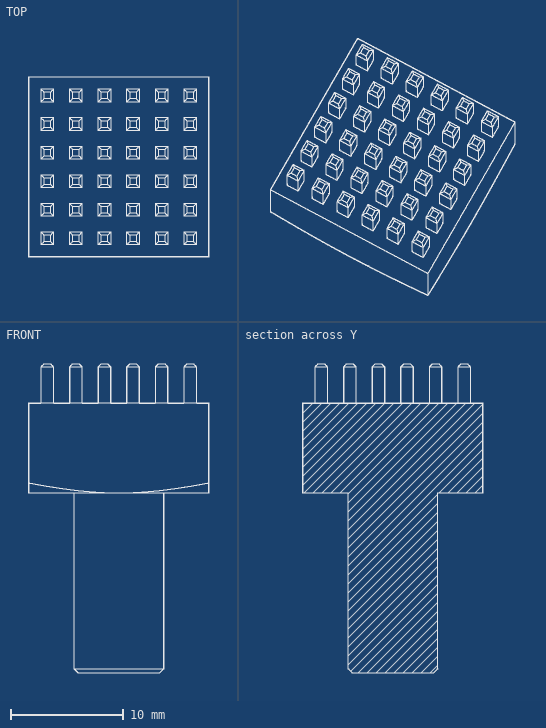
import cadquery as cq
import math

total_height = 27.5
head_side = 16.0
head_height = head_side / 2
stem_diameter = head_side / 2
stem_length = head_side
stem_chamfer = 0.38

corner_angle = 15.0

pin_count = 6
pin_span = 12.7
pin_pitch = pin_span / (pin_count - 1)
pin_width = 1.13
pin_chamfer = 0.28

head_top = stem_length + head_height
pin_height = total_height - head_top


def make_head():
    """Square block whose lower corners are cut back by a cone touching each side's midpoint."""
    block = (
        cq.Workplane("XY")
        .workplane(offset=stem_length)
        .rect(head_side, head_side)
        .extrude(head_height)
    )
    base_radius = head_side / 2
    outer_radius = head_side
    cone_rise = (outer_radius - base_radius) * math.tan(math.radians(corner_angle))
    envelope = (
        cq.Workplane("XZ")
        .moveTo(0, stem_length)
        .lineTo(base_radius, stem_length)
        .lineTo(outer_radius, stem_length + cone_rise)
        .lineTo(outer_radius, head_top)
        .lineTo(0, head_top)
        .close()
        .revolve(360, (0, 0, 0), (0, 1, 0))
    )
    return block.intersect(envelope)


def make_stem():
    """Round shank with a chamfered lower end."""
    stem = cq.Workplane("XY").circle(stem_diameter / 2).extrude(stem_length)
    return stem.faces("<Z").chamfer(stem_chamfer)


def make_pins():
    """Square grid of square pins with their tips chamfered."""
    pins = (
        cq.Workplane("XY")
        .workplane(offset=head_top)
        .rarray(pin_pitch, pin_pitch, pin_count, pin_count)
        .rect(pin_width, pin_width)
        .extrude(pin_height)
    )
    return pins.faces(">Z").chamfer(pin_chamfer)


result = make_head().union(make_stem()).union(make_pins())